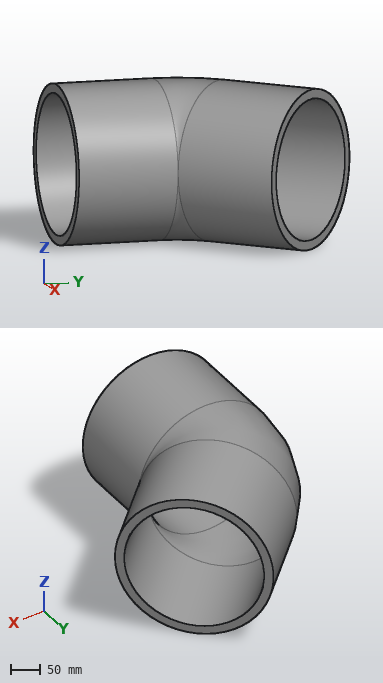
import cadquery as cq
import math

outer_diameter = 280.0
wall_thickness = 16.6
bend_angle = 45.0
bend_radius = 140.1
overall_x = 409.99
overall_y = 504.99

outer_radius = outer_diameter / 2
inner_radius = outer_radius - wall_thickness
bend_sin = math.sin(math.radians(bend_angle))
bend_cos = math.cos(math.radians(bend_angle))

bend_run_x = bend_radius * (1 - bend_cos)
bend_run_y = bend_radius * bend_sin
angled_length = (overall_x - outer_radius - outer_radius * bend_cos - bend_run_x) / bend_sin
straight_length = overall_y - bend_run_y - angled_length * bend_cos - outer_radius * bend_sin

bend_start = cq.Vector(0, straight_length, 0)
bend_end = bend_start + cq.Vector(bend_run_x, bend_run_y, 0)
start_direction = cq.Vector(0, 1, 0)
end_direction = cq.Vector(bend_sin, bend_cos, 0)


def cylinder_along(base, direction, length, radius):
    """Solid straight run starting at base."""
    return cq.Workplane(cq.Solid.makeCylinder(radius, length, base, direction))


def bend(radius):
    """Solid torus segment joining the two straight runs."""
    return (
        cq.Workplane("XZ", origin=bend_start.toTuple())
        .circle(radius)
        .revolve(bend_angle, (bend_radius, 0), (bend_radius, -1))
    )


def elbow(radius):
    """Solid elbow of the given radius: straight run, bend, angled run."""
    straight_run = cylinder_along(cq.Vector(0, 0, 0), start_direction, straight_length, radius)
    angled_run = cylinder_along(bend_end, end_direction, angled_length, radius)
    return straight_run.union(bend(radius)).union(angled_run)


result = elbow(outer_radius).cut(elbow(inner_radius))